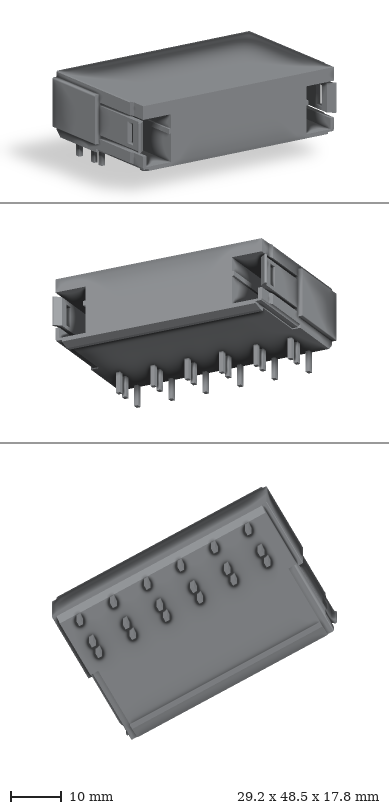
import cadquery as cq
import math


length = 29.25
half_width = 23.25
height = 13.4
top_edge_chamfer = 0.2
back_edge_chamfer = 1.25

cap_start = 26.15
taper_start = cap_start - 0.95
cap_half_width = 22.9

pad_half_width = 24.25
pad_length = 14.55
pad_bottom = 2.05
pad_top = 12.2
pad_top_fillet = 0.35
pad_bottom_fillet = 0.15

wall_thickness = 1.15
slot_bottom = 3.0
slot_top = 10.6
pocket_bottom = 0.75
pocket_depth = 5.8
rib_bottom = 6.6
rib_top = 7.6
rib_height = 0.5

arm_bottom = 3.85
arm_top = 9.9
arm_face = 23.2
arm_bend_start = 27.7
arm_bend_angle = 50.0
arm_bend_radius = 0.9
arm_tip_thickness = 0.65
arm_end = 29.1
window_start = 24.2
window_end = cap_start
window_bottom = 4.6
window_top = 9.05

relief_start = 13.55
relief_top = 0.75
relief_radius = 0.5

lip_depth = 0.75
lip_half_width = 21.5
lip_flat_end = 27.05
lip_end_depth = 0.15

pin_length = 4.35
pin_width = 0.85
pin_pitch = 7.6
pins_per_row = 6
pin_rows = [(1.85, 1.1), (6.95, 1.1), (9.5, 1.0)]
pin_embed = 0.5


def box(x_range, y_range, z_range):
    """Block spanning the given ranges."""
    size = [high - low for low, high in (x_range, y_range, z_range)]
    corner = (x_range[0], y_range[0], z_range[0])
    return cq.Workplane("XY").box(*size, centered=False).translate(corner)


def on_both_ends(solid):
    """The solid built on the -Y end together with its mirror image on the +Y end."""
    return solid.union(solid.mirror("XZ"))


def make_housing():
    side_outline = [
        (back_edge_chamfer, 0),
        (length, 0),
        (length, height),
        (0, height),
        (0, back_edge_chamfer),
    ]
    side = cq.Workplane("XZ").polyline(side_outline).close().extrude(half_width, both=True)
    body = side.intersect(box((0, taper_start), (-half_width, half_width), (0, height)))
    body = body.faces(">Z").edges("not |Y").chamfer(top_edge_chamfer)

    cap_half = [(taper_start, half_width), (cap_start, cap_half_width), (length, cap_half_width)]
    cap_outline = cap_half + [(x, -y) for x, y in reversed(cap_half)]
    cap = cq.Workplane("XY").polyline(cap_outline).close().extrude(height)
    return body.union(side.intersect(cap))


def make_pad():
    pad = box((0, pad_length), (-pad_half_width, -half_width + wall_thickness), (pad_bottom, pad_top))
    pad = pad.edges("|X and <Y and >Z").fillet(pad_top_fillet)
    return pad.edges("|X and <Y and <Z").fillet(pad_bottom_fillet)


def make_slot():
    inner_wall = -half_width + wall_thickness
    slot = box((pad_length, length), (-half_width, inner_wall), (slot_bottom, slot_top))
    pocket_back = inner_wall + pocket_depth
    pocket = box((pad_length, length), (inner_wall, pocket_back), (pocket_bottom, slot_top))
    rib = box((pad_length, length), (pocket_back - rib_height, pocket_back), (rib_bottom, rib_top))
    return slot.union(pocket).cut(rib)


def make_arm():
    angle = math.radians(arm_bend_angle)
    along = (math.cos(angle), -math.sin(angle))
    outward = (-math.sin(angle), -math.cos(angle))
    tip_radius = arm_tip_thickness / 2

    def bend_point(turn):
        return (
            arm_bend_start + arm_bend_radius * math.sin(turn),
            -arm_face - arm_bend_radius * (1 - math.cos(turn)),
        )

    bend_end = bend_point(angle)
    tip_run = (arm_end - tip_radius + tip_radius * outward[0] - bend_end[0]) / along[0]
    outer_end = tuple(p + tip_run * d for p, d in zip(bend_end, along))
    centre = tuple(p - tip_radius * n for p, n in zip(outer_end, outward))
    tip_point = tuple(c + tip_radius * d for c, d in zip(centre, along))
    inner_end = tuple(c - tip_radius * n for c, n in zip(centre, outward))

    arm_back = -half_width + wall_thickness
    back_run = (arm_back - inner_end[1]) / math.sin(angle)
    back_bend = (inner_end[0] - back_run * along[0], arm_back)

    arm = (
        cq.Workplane("XY", origin=(0, 0, arm_bottom))
        .moveTo(pad_length, -arm_face)
        .lineTo(arm_bend_start, -arm_face)
        .threePointArc(bend_point(angle / 2), bend_end)
        .lineTo(*outer_end)
        .threePointArc(tip_point, inner_end)
        .lineTo(*back_bend)
        .lineTo(pad_length, arm_back)
        .close()
        .extrude(arm_top - arm_bottom)
    )
    window = box((window_start, window_end), (-half_width, arm_back), (window_bottom, window_top))
    return arm.cut(window)


def make_relief():
    arc_end = -half_width + relief_radius
    arc_bottom = relief_top - relief_radius
    arc_reach = relief_radius * math.sqrt(0.5)
    return (
        cq.Workplane("YZ", origin=(relief_start, 0, 0))
        .moveTo(-half_width, 0)
        .lineTo(-lip_half_width, 0)
        .lineTo(-lip_half_width, arc_bottom)
        .lineTo(arc_end, arc_bottom)
        .threePointArc((-half_width + arc_reach, arc_bottom + arc_reach), (-half_width, relief_top))
        .close()
        .extrude(length - relief_start)
    )


def make_lip():
    outline = [
        (cap_start, 0),
        (cap_start, -lip_depth),
        (lip_flat_end, -lip_depth),
        (length, -lip_end_depth),
        (length, 0),
    ]
    return cq.Workplane("XZ").polyline(outline).close().extrude(lip_half_width, both=True)


def make_pins():
    pins = cq.Workplane("XY")
    for row_x, pin_thickness in pin_rows:
        row = (
            cq.Workplane("XY", origin=(row_x, 0, pin_embed))
            .rarray(0.5, pin_pitch, 1, pins_per_row)
            .rect(pin_thickness, pin_width)
            .extrude(-pin_embed - pin_length)
        )
        pins = pins.add(row)
    return pins.combine()


housing = make_housing().cut(on_both_ends(make_slot())).cut(on_both_ends(make_relief()))
housing = housing.union(on_both_ends(make_pad())).union(on_both_ends(make_arm()))
result = housing.union(make_lip()).union(make_pins())